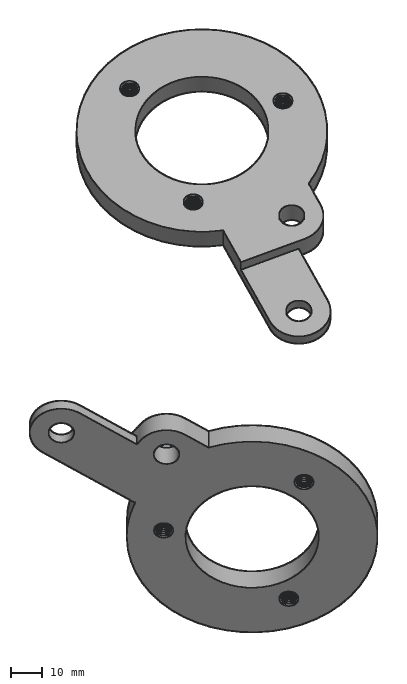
import cadquery as cq
import math

overall_length = 123.5
disc_diameter = 79.0
thickness = 8.0
bore_diameter = 42.0
pivot_hole_diameter = 8.0
tab_radius = 10.0
tab_thickness = 4.0
shoulder_x = 51.9
shoulder_top_y = 22.1

bolt_circle_radius = 28.0
bolt_count = 3
first_bolt_angle = 90.0
thread_minor_diameter = 5.0
thread_major_diameter = 6.0
thread_turns = 8

disc_radius = disc_diameter / 2
tab_center_x = overall_length - disc_radius - tab_radius
ear_center = (shoulder_x - tab_radius, shoulder_top_y - tab_radius)


def make_ear():
    """Full-thickness ear beside the disc, with one rounded corner."""
    ear_height = shoulder_top_y + tab_radius
    return (
        cq.Workplane("XY")
        .box(shoulder_x, ear_height, thickness, centered=False)
        .translate((0, -tab_radius, 0))
        .edges("|Z and >X and >Y")
        .fillet(tab_radius)
    )


def make_tab():
    """Thin round-ended tab flush with the bottom face."""
    return (
        cq.Workplane("XY")
        .moveTo(0, -tab_radius)
        .lineTo(tab_center_x, -tab_radius)
        .threePointArc((tab_center_x + tab_radius, 0), (tab_center_x, tab_radius))
        .lineTo(0, tab_radius)
        .close()
        .extrude(tab_thickness)
    )


def make_thread_cutter():
    """Tapped-hole cutter on the Z axis: stacked V rings, opening at the major diameter on both faces."""
    minor_radius = thread_minor_diameter / 2
    major_radius = thread_major_diameter / 2
    pitch = thickness / thread_turns

    profile = [(0, 0), (major_radius, 0)]
    for turn in range(thread_turns):
        profile.append((minor_radius, (turn + 0.5) * pitch))
        profile.append((major_radius, (turn + 1) * pitch))
    profile.append((0, thickness))
    return cq.Workplane("XZ").polyline(profile).close().revolve(360, (0, 0), (0, 1))


result = cq.Workplane("XY").circle(disc_radius).extrude(thickness)
result = result.union(make_ear()).union(make_tab())

bore = cq.Workplane("XY").circle(bore_diameter / 2).extrude(thickness)
pivot_holes = (
    cq.Workplane("XY")
    .pushPoints([ear_center, (tab_center_x, 0)])
    .circle(pivot_hole_diameter / 2)
    .extrude(thickness)
)
result = result.cut(bore).cut(pivot_holes)

thread_cutter = make_thread_cutter()
for index in range(bolt_count):
    angle = math.radians(first_bolt_angle + index * 360 / bolt_count)
    bolt_x = bolt_circle_radius * math.cos(angle)
    bolt_y = bolt_circle_radius * math.sin(angle)
    result = result.cut(thread_cutter.translate((bolt_x, bolt_y, 0)))